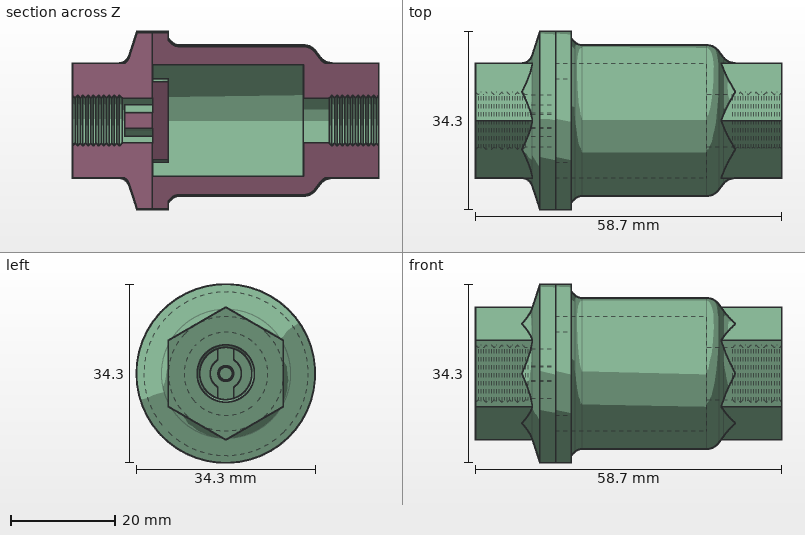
import cadquery as cq
import math


TOTAL_LENGTH = 58.7
FLANGE_START = 12.35
FLANGE_HALF = 3.0
SPLIT_X = FLANGE_START + FLANGE_HALF
FLANGE_END = SPLIT_X + FLANGE_HALF
FLANGE_RADIUS = 34.3 / 2

HEX_ACROSS_FLATS = 22.0
HEX_APOTHEM = HEX_ACROSS_FLATS / 2
HEX_CIRCUMDIAMETER = HEX_ACROSS_FLATS / math.cos(math.radians(30))

CONE_ANGLE = math.radians(18)
CAP_FILLET = 2.0

BARREL_RADIUS = 14.5
BARREL_END = 44.25
NECK_FILLET = 2.0
NECK_ANGLE = math.radians(45)
NECK_END = 20.4
SHOULDER_RADIUS = 2.9
SHOULDER_ANGLE = math.radians(53)

PORT_MINOR_RADIUS = 5.0
PORT_MAJOR_RADIUS = 5.5
THREAD_PITCH = 1.0
THREAD_TURNS = 10
THREAD_LENGTH = THREAD_PITCH * THREAD_TURNS

HUB_RADIUS = 3.0
SPOKE_WIDTH = 3.0
SPOKE_FILLET = 0.5
GUIDE_RADIUS = 1.5

CHAMBER_RADIUS = 11.0
CHAMBER_END = BARREL_END
STEM_RADIUS = 1.25
DISC_RADIUS = 8.0
DISC_THICKNESS = 3.0


def revolve_about_x(profile):
    """Turn a closed XY profile, with Y as the radius, about the X axis."""
    return profile.close().revolve(360, (0, 0, 0), (1, 0, 0))


def disc(x_start, x_end, radius):
    """Solid cylinder along X."""
    return cq.Workplane("YZ", origin=(x_start, 0, 0)).circle(radius).extrude(x_end - x_start)


def hexagon(x_start, x_end):
    """Hexagonal bar along X with corners pointing up and down."""
    plane = cq.Workplane("YZ", origin=(x_start, 0, 0))
    return plane.polygon(6, HEX_CIRCUMDIAMETER).extrude(x_end - x_start).rotate((0, 0, 0), (1, 0, 0), 90)


def threaded_port():
    """Void of a port that opens at x = 0, with ring grooves standing in for the thread."""
    profile = cq.Workplane("XY").moveTo(0, 0).lineTo(0, PORT_MAJOR_RADIUS)
    for turn in range(THREAD_TURNS):
        groove_start = turn * THREAD_PITCH
        profile = profile.lineTo(groove_start + THREAD_PITCH / 2, PORT_MINOR_RADIUS)
        if turn < THREAD_TURNS - 1:
            profile = profile.lineTo(groove_start + THREAD_PITCH, PORT_MAJOR_RADIUS)
    return revolve_about_x(profile.lineTo(THREAD_LENGTH, PORT_MINOR_RADIUS).lineTo(THREAD_LENGTH, 0))


def spider_openings():
    """The two flow openings left between the hub, the spokes and the bore."""
    bore = disc(THREAD_LENGTH, SPLIT_X, PORT_MINOR_RADIUS)
    hub = disc(THREAD_LENGTH, SPLIT_X, HUB_RADIUS)
    spokes = (
        cq.Workplane("YZ", origin=(THREAD_LENGTH, 0, 0))
        .rect(SPOKE_WIDTH, 4 * PORT_MINOR_RADIUS)
        .extrude(SPLIT_X - THREAD_LENGTH)
    )
    spider = hub.union(spokes)
    corner_zone = cq.selectors.BoxSelector(
        (THREAD_LENGTH, -HUB_RADIUS, -HUB_RADIUS),
        (SPLIT_X, HUB_RADIUS, HUB_RADIUS),
    )
    spider = spider.edges("|X").edges(corner_zone).fillet(SPOKE_FILLET)
    return bore.cut(spider)


def make_cap():
    """Inlet cap: hexagon, coned flange half, threaded port and stem guide."""
    fillet_end_radius = HEX_APOTHEM + CAP_FILLET * (1 - math.sin(CONE_ANGLE))
    fillet_end_x = FLANGE_START - (FLANGE_RADIUS - fillet_end_radius) * math.tan(CONE_ANGLE)
    fillet_start_x = fillet_end_x - CAP_FILLET * math.cos(CONE_ANGLE)
    middle_angle = (math.pi / 2 - CONE_ANGLE) / 2
    fillet_middle = (
        fillet_start_x + CAP_FILLET * math.sin(middle_angle),
        HEX_APOTHEM + CAP_FILLET * (1 - math.cos(middle_angle)),
    )
    flange = revolve_about_x(
        cq.Workplane("XY")
        .moveTo(fillet_start_x, 0)
        .lineTo(fillet_start_x, HEX_APOTHEM)
        .threePointArc(fillet_middle, (fillet_end_x, fillet_end_radius))
        .lineTo(FLANGE_START, FLANGE_RADIUS)
        .lineTo(SPLIT_X, FLANGE_RADIUS)
        .lineTo(SPLIT_X, 0)
    )
    cap = hexagon(0, SPLIT_X).union(flange)
    stem_guide = disc(THREAD_LENGTH, SPLIT_X, GUIDE_RADIUS)
    return cap.cut(threaded_port()).cut(spider_openings()).cut(stem_guide)


def make_housing():
    """Housing: flange half, barrel, S-shaped shoulder, hexagon, chamber and outlet port."""
    neck_start_x = NECK_END - NECK_FILLET * math.sin(NECK_ANGLE)
    neck_start_radius = BARREL_RADIUS + NECK_FILLET * (1 - math.cos(NECK_ANGLE))
    chamfer_radius = neck_start_radius + (neck_start_x - FLANGE_END) * math.tan(NECK_ANGLE)
    neck_middle = (
        NECK_END - NECK_FILLET * math.sin(NECK_ANGLE / 2),
        BARREL_RADIUS + NECK_FILLET * (1 - math.cos(NECK_ANGLE / 2)),
    )

    arc_run = SHOULDER_RADIUS * math.sin(SHOULDER_ANGLE)
    arc_drop = SHOULDER_RADIUS * (1 - math.cos(SHOULDER_ANGLE))
    middle_run = SHOULDER_RADIUS * math.sin(SHOULDER_ANGLE / 2)
    middle_drop = SHOULDER_RADIUS * (1 - math.cos(SHOULDER_ANGLE / 2))
    slope_drop = BARREL_RADIUS - HEX_APOTHEM - 2 * arc_drop
    slope_start_x = BARREL_END + arc_run
    slope_end_x = slope_start_x + slope_drop / math.tan(SHOULDER_ANGLE)
    shoulder_end_x = slope_end_x + arc_run

    barrel = revolve_about_x(
        cq.Workplane("XY")
        .moveTo(SPLIT_X, 0)
        .lineTo(SPLIT_X, FLANGE_RADIUS)
        .lineTo(FLANGE_END, FLANGE_RADIUS)
        .lineTo(FLANGE_END, chamfer_radius)
        .lineTo(neck_start_x, neck_start_radius)
        .threePointArc(neck_middle, (NECK_END, BARREL_RADIUS))
        .lineTo(BARREL_END, BARREL_RADIUS)
        .threePointArc(
            (BARREL_END + middle_run, BARREL_RADIUS - middle_drop),
            (slope_start_x, BARREL_RADIUS - arc_drop),
        )
        .lineTo(slope_end_x, HEX_APOTHEM + arc_drop)
        .threePointArc(
            (shoulder_end_x - middle_run, HEX_APOTHEM + middle_drop),
            (shoulder_end_x, HEX_APOTHEM),
        )
        .lineTo(shoulder_end_x, 0)
    )
    housing = barrel.union(hexagon(BARREL_END, TOTAL_LENGTH))
    chamber = disc(SPLIT_X, CHAMBER_END, CHAMBER_RADIUS)
    passage = disc(CHAMBER_END, TOTAL_LENGTH - THREAD_LENGTH, PORT_MINOR_RADIUS)
    outlet_port = threaded_port().rotate((0, 0, 0), (0, 0, 1), 180).translate((TOTAL_LENGTH, 0, 0))
    return housing.cut(chamber).cut(passage).cut(outlet_port)


def make_poppet():
    """Poppet: a disc seated on the cap, with a stem reaching through the spider hub."""
    sealing_disc = disc(SPLIT_X, SPLIT_X + DISC_THICKNESS, DISC_RADIUS)
    stem = disc(THREAD_LENGTH, SPLIT_X, STEM_RADIUS)
    return sealing_disc.union(stem)


cap = make_cap()
housing = make_housing()
poppet = make_poppet()

bodies = (cap, housing, poppet)
result = cq.Compound.makeCompound([body.solids().val() for body in bodies])